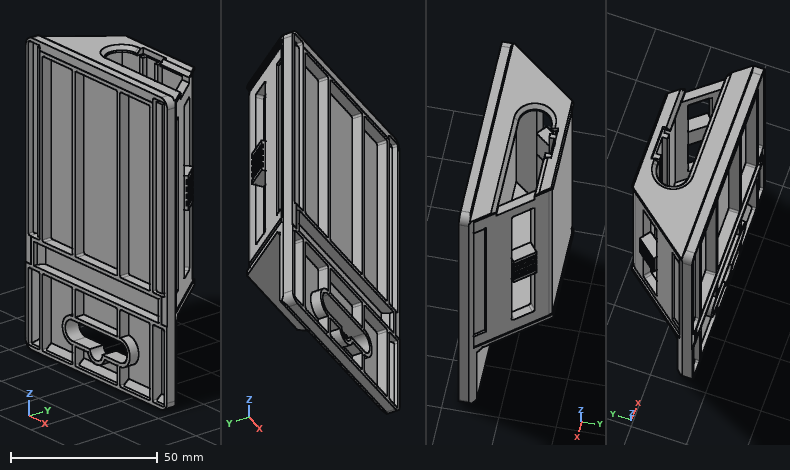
import cadquery as cq
import math

height = 115.4
half_width = 37.92
depth = 29.0
crown_half_width = 17.8
rim_depth = 3.6
plate_depth = 6.1
corner_radius = 3.5
plate_lip = 0.3

box_bottom = 33.1
box_top = 114.0
foot_chamfer = 1.6

wall = 3.1
crown_inner = 25.2
chamber_bottom = 35.2
chamber_top = 111.9

recess_depth = 0.3
recess_bottom = chamber_bottom
recess_top = 112.9
recess_edge = 5.1
crown_edge_chamfer = 1.0
cap_chamfer = 0.6
panel_bottom = 37.5
panel_top = 110.6

rib = 1.5
pocket_floor = 3.9
pocket_straight = 1.5
pocket_slope = 2.0
pocket_radius = 0.7
inner_rib_x = 12.0
outer_rib_x = 29.5
upper_bottom = 42.0
upper_top = 110.6
band_half_width = 33.4
band_bottom = 31.6
band_top = 40.5
ledge_depth = 1.6
side_groove_floor = 3.7
side_groove_straight = 2.3
side_groove_slope = 1.2
frame_step = 0.1
frame_inner_x = 35.0
frame_inner_top = 112.1

hang_length = 33.1
hang_width = 7.7
hang_z = 14.2
keyhole_radius = 3.3
keyhole_z = 10.5

mouth_radius = 5.8
mouth_x = -7.5
mouth_y = 17.5
mouth_chamfer = 1.5
notch_width = 12.2
notch_outer_y = 26.0
guide_rib_x = 4.0
guide_rib_width = 1.7

slot_low_y = 16.5
slot_high_y = 23.4
slot_length = 64.0
slot_z = 73.5
slot_radius = 0.9
groove_high_y = 8.8
groove_depth = 0.8

slider_length = 12.7
slider_rise = 1.4
grip_pitch = 2.7
grip_width = 1.3
grip_depth = 0.6
grip_count = 4

slope_run = half_width - crown_half_width
slope_rise = depth - rim_depth
slope_angle = math.atan2(slope_run, slope_rise)
wall_across = wall / math.cos(slope_angle)
recess_across = recess_depth / math.cos(slope_angle)


def side_x(y):
    """Half width of the outer sloping face at depth y."""
    return half_width - (y - rim_depth) * slope_run / slope_rise


def panel_x(y):
    """Half width of the recessed sloping face at depth y."""
    return side_x(y) - recess_across


def inner_x(y):
    """Half width of the chamber at depth y."""
    return panel_x(y) - wall_across


def block(x0, x1, y0, y1, z0, z1):
    return cq.Workplane("XY").box(x1 - x0, y1 - y0, z1 - z0, centered=False).translate((x0, y0, z0))


def symmetric_prism(right_points, z0, z1):
    """Prism along Z whose section is the given right half and its mirror image."""
    left_points = [(-x, y) for x, y in reversed(right_points)]
    outline = cq.Workplane("XY").workplane(offset=z0).polyline(right_points + left_points).close()
    return outline.extrude(z1 - z0)


def side_prism(points):
    """Prism along X across the whole width, from (depth, height) points."""
    return cq.Workplane("YZ").polyline(points).close().extrude(half_width, both=True)


def back_prism(x0, x1, z0, z1, radius, y1):
    """Rectangle with round corners, running from the back to depth y1."""
    blank = block(x0, x1, 0, y1, z0, z1)
    return blank.edges("|Y").fillet(radius)


def slope_plane(side, y):
    """Plane on the recessed sloping face: local X climbs the slope, local Y is along Z."""
    climb = cq.Vector(-side * math.sin(slope_angle), math.cos(slope_angle), 0)
    outward = cq.Vector(side * math.cos(slope_angle), math.sin(slope_angle), 0)
    return cq.Workplane(cq.Plane(cq.Vector(side * panel_x(y), y, slot_z), climb, outward))


def outer_form():
    section = [(half_width, 0), (half_width, rim_depth), (crown_half_width, depth)]
    plate_chamfer = plate_depth - rim_depth
    lip_depth = rim_depth + plate_lip
    profile = [
        (0, 0),
        (rim_depth, 0),
        (plate_depth, plate_chamfer),
        (plate_depth, box_bottom - foot_chamfer),
        (plate_depth + foot_chamfer, box_bottom),
        (depth, box_bottom),
        (depth, box_top - cap_chamfer),
        (depth - cap_chamfer, box_top),
        (lip_depth, box_top),
        (lip_depth, height - plate_lip),
        (rim_depth, height),
        (0, height),
    ]
    rounded = back_prism(-half_width, half_width, 0, height, corner_radius, depth)
    return symmetric_prism(section, 0, height).intersect(side_prism(profile)).intersect(rounded)


def wall_recess():
    """Skin taken off the crown and sloping walls between the end caps."""
    crown = depth - recess_depth
    shoulder = crown - crown_edge_chamfer
    section = [
        (panel_x(recess_edge), recess_edge),
        (panel_x(shoulder), shoulder),
        (panel_x(crown) - recess_across, crown),
    ]
    band = block(-half_width, half_width, recess_edge, depth, recess_bottom, recess_top)
    return band.cut(symmetric_prism(section, recess_bottom, recess_top))


def chamber():
    section = [(inner_x(plate_depth), plate_depth), (inner_x(crown_inner), crown_inner)]
    hollow = symmetric_prism(section, chamber_bottom, chamber_top)
    rib_face = mouth_y + mouth_radius
    half = guide_rib_width / 2
    for side in (-1, 1):
        centre = side * guide_rib_x
        guide = block(centre - half, centre + half, rib_face, crown_inner, chamber_bottom, chamber_top)
        hollow = hollow.cut(guide)
    return hollow


def wall_slits():
    """Gaps above and below the -X wall, opening into the chamber."""
    inner_end = -inner_x(crown_inner)
    upper = block(-half_width, inner_end, recess_edge, depth, panel_top, chamber_top)
    lower = block(-half_width, inner_end, recess_edge, depth, chamber_bottom, panel_bottom)
    return upper.union(lower)


def mouth_outline(radius, z):
    return (
        cq.Workplane("XY")
        .workplane(offset=z)
        .moveTo(half_width, mouth_y - radius)
        .lineTo(mouth_x, mouth_y - radius)
        .threePointArc((mouth_x - radius, mouth_y), (mouth_x, mouth_y + radius))
        .lineTo(half_width, mouth_y + radius)
        .close()
    )


def mouth():
    """Open-ended slot with a chamfered rim and a notch in front of the guide ribs."""
    slot = mouth_outline(mouth_radius, panel_top).extrude(box_top - panel_top)
    flare = mouth_outline(mouth_radius, box_top - mouth_chamfer).extrude(mouth_chamfer, taper=-45)
    half = notch_width / 2
    notch = block(-half, half, mouth_y, notch_outer_y, chamber_top, box_top)
    return slot.union(flare).union(notch)


def pocket_space():
    """Space inside the rim, its sides and bottom sloping near the floor."""
    edge_x = half_width - rib
    section = [(edge_x, 0), (edge_x, pocket_straight), (edge_x - pocket_slope, pocket_floor)]
    profile = [
        (0, rib),
        (pocket_straight, rib),
        (pocket_floor, rib + pocket_slope),
        (pocket_floor, height),
        (0, height),
    ]
    return symmetric_prism(section, 0, height).intersect(side_prism(profile))


def hang_outline(margin, y1):
    """Hanging slot with its round keyhole, widened all round by the margin."""
    slot = (
        cq.Workplane("XZ")
        .center(0, hang_z)
        .slot2D(hang_length + 2 * margin, hang_width + 2 * margin)
        .extrude(-y1)
    )
    keyhole = cq.Workplane("XZ").center(0, keyhole_z).circle(keyhole_radius + margin).extrude(-y1)
    return slot.union(keyhole)


def back_pockets():
    lower_top = band_bottom - rib
    half = rib / 2
    edge_x = half_width - rib
    columns = [
        (-outer_rib_x + half, -inner_rib_x - half),
        (-inner_rib_x + half, inner_rib_x - half),
        (inner_rib_x + half, outer_rib_x - half),
    ]
    side_columns = [(-edge_x, -outer_rib_x - half), (outer_rib_x + half, edge_x)]
    pockets = []
    for x0, x1 in columns:
        pockets.append(back_prism(x0, x1, upper_bottom, upper_top, pocket_radius, pocket_floor))
    for x0, x1 in columns + side_columns:
        pockets.append(back_prism(x0, x1, rib, lower_top, pocket_radius, pocket_floor))
    space = pocket_space()
    boss = hang_outline(rib, pocket_floor)
    return [pocket.intersect(space).cut(boss) for pocket in pockets]


def band_pocket():
    sloped_end = band_half_width - rib
    section = [(band_half_width, 0), (band_half_width, pocket_straight), (sloped_end, pocket_floor)]
    return symmetric_prism(section, band_bottom, band_top)


def side_groove(side):
    """Long pocket beside the ribs: a groove along the rim and a shallower ledge next to the rib."""
    edge_x = half_width - rib
    rib_face = outer_rib_x + rib / 2
    top = height - rib
    groove = back_prism(rib_face, edge_x, upper_bottom, top, pocket_radius, side_groove_floor)
    section = [
        (edge_x, 0),
        (edge_x, side_groove_straight),
        (edge_x - side_groove_slope, side_groove_floor),
    ]
    profile = [
        (0, 0),
        (side_groove_floor, 0),
        (side_groove_floor, top - side_groove_slope),
        (side_groove_straight, top),
        (0, top),
    ]
    groove = groove.intersect(symmetric_prism(section, 0, top)).intersect(side_prism(profile))
    ledge = block(rib_face, band_half_width, ledge_depth, pocket_floor, upper_bottom, frame_inner_top)
    groove = groove.cut(ledge)
    return groove if side > 0 else groove.mirror("YZ")


def frame_relief():
    """Shallow step that sets the back of the frame in from the ribs."""
    frame = block(-half_width, half_width, 0, frame_step, band_bottom, height)
    band_area = block(-frame_inner_x, frame_inner_x, 0, frame_step, band_bottom, upper_bottom)
    rib_area = block(-band_half_width, band_half_width, 0, frame_step, upper_bottom, frame_inner_top)
    return frame.cut(band_area).cut(rib_area)


slot_y = (slot_low_y + slot_high_y) / 2
slot_width = (slot_high_y - slot_low_y) / math.cos(slope_angle)


def slider_slot(side):
    face = slope_plane(side, slot_y)
    cutter = face.rect(slot_width, slot_length).extrude(-2 * wall)
    return cutter.edges(cq.selectors.ParallelDirSelector(face.plane.zDir)).fillet(slot_radius)


def wall_groove(side):
    groove_y = (recess_edge + groove_high_y) / 2
    groove_width = (groove_high_y - recess_edge) / math.cos(slope_angle)
    return slope_plane(side, groove_y).rect(groove_width, slot_length).extrude(-groove_depth)


def make_housing():
    body = outer_form().cut(wall_recess()).cut(chamber()).cut(wall_slits()).cut(mouth())
    for pocket in back_pockets():
        body = body.cut(pocket)
    body = body.cut(band_pocket()).cut(frame_relief()).cut(hang_outline(0, plate_depth))
    for side in (-1, 1):
        body = body.cut(side_groove(side)).cut(slider_slot(side)).cut(wall_groove(side))
    return body


def make_slider(side):
    face = slope_plane(side, slot_y)
    button = face.workplane(offset=-wall).rect(slot_width, slider_length).extrude(wall + slider_rise)
    grips = (
        face.workplane(offset=slider_rise - grip_depth)
        .rarray(1.2, grip_pitch, 1, grip_count)
        .rect(slot_width, grip_pitch - grip_width)
        .extrude(grip_depth)
    )
    return button.cut(grips)


housing = make_housing()
sliders = [make_slider(side) for side in (-1, 1)]
result = cq.Compound.makeCompound([housing.val()] + [slider.val() for slider in sliders])